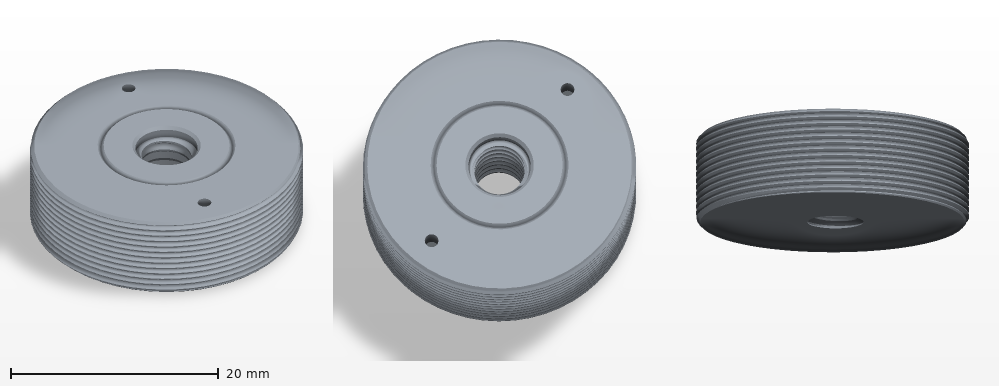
import cadquery as cq
import math

diameter = 26.3
thickness = 8.25
radius = diameter / 2
edge_chamfer = 0.42

threads_per_diameter = 41.4
rim_pitch = diameter / threads_per_diameter
rim_thread_depth = 0.37
rim_crest_flat = 0.08
rim_groove_drop = 0.37

bore_diameter = 4.85
bore_thread_diameter = 6.0
bore_pitch = 1.0
bore_crest_flat = 0.2
bore_groove_drop = 1.24
counterbore_depth = 1.1
bore_chamfer = 0.3

root_flat_fraction = 0.12

ring_diameter = 12.67
ring_half_width = 0.3
ring_depth = 0.3

pin_diameter = 1.31
pin_spacing = 20.35
pin_depth = 2.0

clearance = 0.13


def thread_cutter(crest_radius, root_radius, pitch, crest_flat, groove_drop):
    """Helical groove running past both faces; it works for inside and outside threads."""
    turns = math.ceil(thickness / pitch) + 2
    start_z = thickness - groove_drop - (turns - 1) * pitch
    open_radius = crest_radius + math.copysign(clearance, crest_radius - root_radius)
    half_mouth = (pitch - crest_flat) / 2
    half_root = pitch * root_flat_fraction / 2
    section = [
        (open_radius, -half_mouth),
        (crest_radius, -half_mouth),
        (root_radius, -half_root),
        (root_radius, half_root),
        (crest_radius, half_mouth),
        (open_radius, half_mouth),
    ]
    height = turns * pitch
    helices = [
        cq.Wire.makeHelix(pitch, height, r).translate(cq.Vector(0, 0, start_z + z))
        for r, z in section
    ]
    faces = [
        cq.Face.makeRuledSurface(first, second)
        for first, second in zip(helices, helices[1:] + helices[:1])
    ]
    for end_z in (start_z, start_z + height):
        corners = [cq.Vector(r, 0, end_z + z) for r, z in section]
        faces.append(cq.Face.makeFromWires(cq.Wire.makePolygon(corners, close=True)))
    return cq.Workplane(cq.Solid.makeSolid(cq.Shell.makeShell(faces)).fix())


body = cq.Workplane("XY").circle(radius + clearance).extrude(thickness)
body = body.faces("<Z or >Z").edges().chamfer(edge_chamfer + clearance)

bore_radius = bore_diameter / 2
counterbore_radius = bore_thread_diameter / 2
bore_profile = [
    (0, 0),
    (bore_radius, 0),
    (bore_radius, thickness - counterbore_depth),
    (counterbore_radius, thickness - counterbore_depth),
    (counterbore_radius, thickness - bore_chamfer),
    (counterbore_radius + bore_chamfer, thickness),
    (0, thickness),
]
body = body.cut(cq.Workplane("XZ").polyline(bore_profile).close().revolve(360, (0, 0), (0, 1)))

ring_radius = ring_diameter / 2
ring_profile = [
    (ring_radius - ring_half_width, thickness),
    (ring_radius, thickness - ring_depth),
    (ring_radius + ring_half_width, thickness),
]
body = body.cut(cq.Workplane("XZ").polyline(ring_profile).close().revolve(360, (0, 0), (0, 1)))

pins = (
    cq.Workplane("XY", origin=(0, 0, thickness))
    .pushPoints([(-pin_spacing / 2, 0), (pin_spacing / 2, 0)])
    .circle(pin_diameter / 2)
    .extrude(-pin_depth)
)
body = body.cut(pins)

bore_cutter = thread_cutter(
    bore_radius, counterbore_radius, bore_pitch, bore_crest_flat, bore_groove_drop
)
below_counterbore = cq.Workplane("XY").circle(radius).extrude(thickness - counterbore_depth)
bore_cutter = bore_cutter.intersect(below_counterbore)
body = body.cut(bore_cutter, clean=False)

rim_cutter = thread_cutter(
    radius, radius - rim_thread_depth, rim_pitch, rim_crest_flat, rim_groove_drop
)
threaded_disc = cq.Workplane("XY").circle(radius).extrude(thickness).cut(rim_cutter, clean=False)
result = body.intersect(threaded_disc, clean=False)